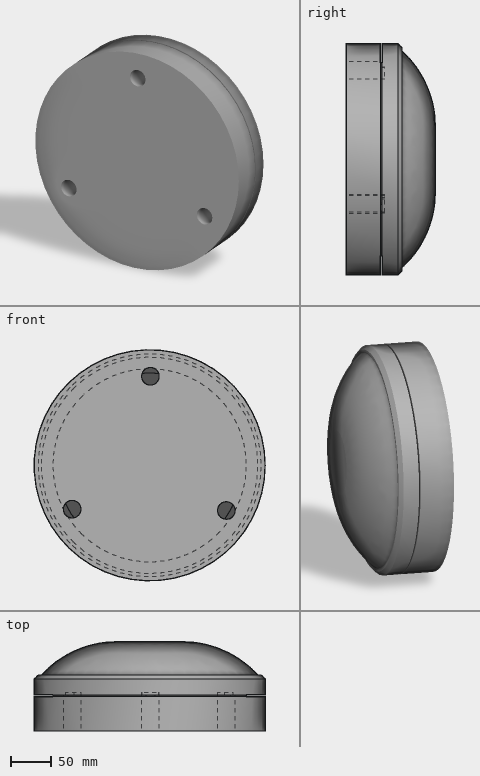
import cadquery as cq
import math

body_radius = 143.5
total_height = 111.0
base_height = 42.8
gap_width = 2.0
lid_band_height = 19.8
rim_chamfer = 5.2
neck_radius = 120.0

dome_foot_radius = 134.3
dome_flat_radius = 40.2

hole_count = 3
hole_radius = 11.0
hole_circle_radius = 110.5
first_hole_angle = 89.5
step_circle_radius = 114.5
step_depth = 3.0

lid_start = base_height + gap_width
lid_band_end = lid_start + lid_band_height
rim_height = lid_band_end + rim_chamfer


def dome_arc_middle():
    """A point halfway along the arc that meets the flat crown tangentially."""
    width = dome_foot_radius - dome_flat_radius
    drop = total_height - rim_height
    arc_radius = (width**2 + drop**2) / (2 * drop)
    half_angle = math.asin(width / arc_radius) / 2
    radius = dome_flat_radius + arc_radius * math.sin(half_angle)
    height = total_height - arc_radius * (1 - math.cos(half_angle))
    return radius, height


def make_body():
    return (
        cq.Workplane("XY")
        .moveTo(0, 0)
        .lineTo(body_radius, 0)
        .lineTo(body_radius, base_height)
        .lineTo(neck_radius, base_height)
        .lineTo(neck_radius, lid_start)
        .lineTo(body_radius, lid_start)
        .lineTo(body_radius, lid_band_end)
        .lineTo(body_radius - rim_chamfer, rim_height)
        .lineTo(dome_foot_radius, rim_height)
        .threePointArc(dome_arc_middle(), (dome_flat_radius, total_height))
        .lineTo(0, total_height)
        .close()
        .revolve(360, (0, 0), (0, 1))
    )


def cylinder_along_y(x, z, radius, length):
    return cq.Workplane(cq.Solid.makeCylinder(radius, length, cq.Vector(x, 0, z), cq.Vector(0, 1, 0)))


def make_hole(angle_degrees):
    """A hole through base and gap, deeper on the side nearest the part axis."""
    angle = math.radians(angle_degrees)
    x = hole_circle_radius * math.cos(angle)
    z = hole_circle_radius * math.sin(angle)
    deep_length = lid_start + step_depth
    main_hole = cylinder_along_y(x, z, hole_radius, lid_start)
    deep_hole = cylinder_along_y(x, z, hole_radius, deep_length)
    step_disc = cylinder_along_y(0, 0, step_circle_radius, deep_length)
    return main_hole.union(deep_hole.intersect(step_disc))


result = make_body()
for index in range(hole_count):
    result = result.cut(make_hole(first_hole_angle + index * 360 / hole_count))

result = result.translate((0, -total_height / 2, 0))